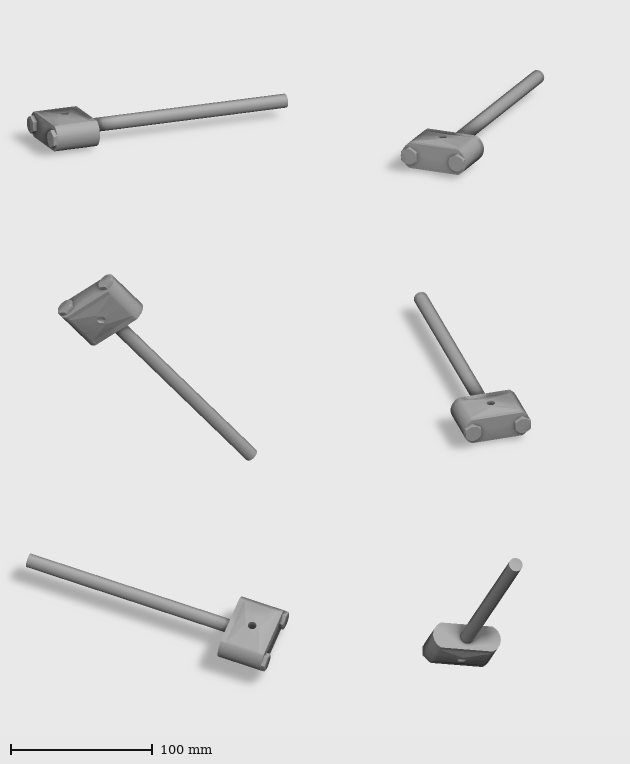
import cadquery as cq
import math

total_length = 187.9
body_width = 49.0
total_height = 23.0

body_thickness = 18.8
body_depth = 32.5

head_height = 3.0
head_across_flats = 11.5
head_offset = 18.5
head_chamfer_angle = 30.0

roof_length = 25.5
ridge_length = 10.1
ridge_width = 0.2
crown_width = 6.0

eave_x = 17.9
eave_z = 9.5
bevel_x = 19.0
bevel_z = 9.2

hole_diameter = 6.0
hole_from_front = 15.8

rod_diameter = 10.0

body_front = head_height
body_back = body_front + body_depth
hole_y = body_front + hole_from_front

half_width = body_width / 2
half_height = total_height / 2
half_thickness = body_thickness / 2


def make_roofed_bar():
    """Bar of the full body depth with rounded ends and a low gable above and below."""
    half_ridge = ridge_width / 2
    return (
        cq.Workplane("XZ", origin=(0, body_front, 0))
        .moveTo(-half_ridge, half_height)
        .lineTo(half_ridge, half_height)
        .lineTo(eave_x, eave_z)
        .lineTo(bevel_x, bevel_z)
        .threePointArc((half_width, 0), (bevel_x, -bevel_z))
        .lineTo(eave_x, -eave_z)
        .lineTo(half_ridge, -half_height)
        .lineTo(-half_ridge, -half_height)
        .lineTo(-eave_x, -eave_z)
        .lineTo(-bevel_x, -bevel_z)
        .threePointArc((-half_width, 0), (-bevel_x, bevel_z))
        .lineTo(-eave_x, eave_z)
        .close()
        .extrude(-body_depth)
    )


def make_length_profile():
    """Block across X that leaves flat margins and gives the roofs sloping ends."""
    roof_start = hole_y - roof_length / 2
    roof_end = hole_y + roof_length / 2
    ridge_start = hole_y - ridge_length / 2
    ridge_end = hole_y + ridge_length / 2
    upper = [
        (body_front, half_thickness),
        (roof_start, half_thickness),
        (ridge_start, half_height),
        (ridge_end, half_height),
        (roof_end, half_thickness),
        (body_back, half_thickness),
    ]
    lower = [(y, -z) for y, z in reversed(upper)]
    return cq.Workplane("YZ").polyline(upper + lower).close().extrude(half_width, both=True)


def crown_section(y, top_width):
    """Cross-section of the roof at the given Y, with a flat top of the given width."""
    corners = [
        (-eave_x, eave_z),
        (eave_x, eave_z),
        (top_width / 2, half_height),
        (-top_width / 2, half_height),
    ]
    return cq.Wire.makePolygon([cq.Vector(x, y, z) for x, z in corners], close=True)


def make_crown():
    """Ridge that widens from both of its ends to a flat top around the hole."""
    middle = crown_section(hole_y, crown_width)
    crown = cq.Workplane("XY")
    for side in (-1, 1):
        end = crown_section(hole_y + side * ridge_length / 2, ridge_width)
        crown = crown.add(cq.Solid.makeLoft([end, middle], True))
    return crown.combine()


def make_head(x):
    """Hexagonal head whose front corners are trimmed by a cone."""
    face_radius = head_across_flats / 2
    corner_radius = face_radius / math.cos(math.pi / 6)
    hexagon = (
        cq.Workplane("XZ", origin=(x, body_front, 0))
        .transformed(rotate=(0, 0, 90))
        .polygon(6, 2 * corner_radius)
        .extrude(head_height)
    )
    chamfer_width = corner_radius - face_radius
    chamfer_depth = chamfer_width * math.tan(math.radians(head_chamfer_angle))
    chamfered_round = (
        cq.Workplane("XZ", origin=(x, body_front, 0))
        .circle(corner_radius)
        .extrude(head_height)
        .faces("<Y")
        .chamfer(chamfer_depth, chamfer_width)
    )
    return hexagon.intersect(chamfered_round)


def make_rod():
    return (
        cq.Workplane("XZ", origin=(0, body_back, 0))
        .circle(rod_diameter / 2)
        .extrude(-(total_length - body_back))
    )


def make_cross_hole():
    return (
        cq.Workplane("XY", origin=(0, hole_y, 0))
        .circle(hole_diameter / 2)
        .extrude(half_height, both=True)
    )


top_crown = make_crown()
bottom_crown = top_crown.mirror("XY")

result = make_roofed_bar().intersect(make_length_profile())
result = result.union(top_crown).union(bottom_crown).union(make_rod())
for head_side in (-1, 1):
    result = result.union(make_head(head_side * head_offset))
result = result.cut(make_cross_hole())